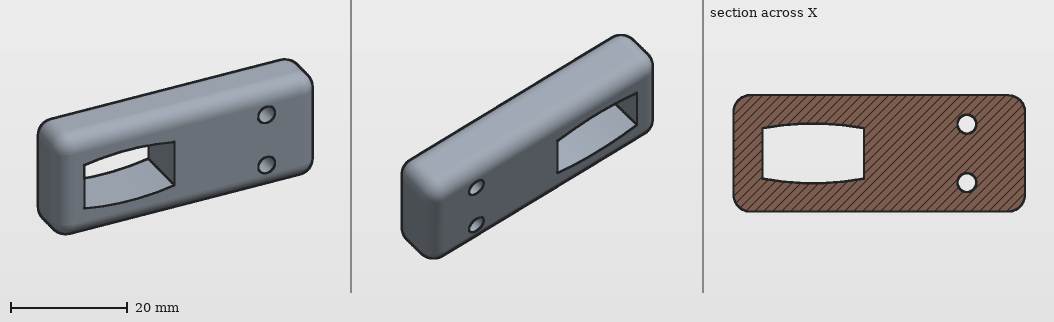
import cadquery as cq

body_width = 10.0
body_length = 50.0
body_height = 20.0
edge_radius = 3.0

hole_diameter = 3.2
hole_y = 15.0
hole_spacing = 10.0

window_length = 17.3
window_center_y = -11.3
window_end_height = 8.6
window_mid_height = 10.2


def make_body():
    """Bar with every edge rounded to the same radius."""
    return cq.Workplane("XY").box(body_width, body_length, body_height).edges().fillet(edge_radius)


def make_holes():
    """Two cylinders along X, spaced evenly above and below the mid-plane."""
    centers = [(hole_y, side * hole_spacing / 2) for side in (-1, 1)]
    return (
        cq.Workplane("YZ")
        .pushPoints(centers)
        .circle(hole_diameter / 2)
        .extrude(body_width / 2, both=True)
    )


def make_window():
    """Prism along X with straight ends and outward-bowed arcs above and below."""
    y_min = window_center_y - window_length / 2
    y_max = window_center_y + window_length / 2
    z_end = window_end_height / 2
    z_mid = window_mid_height / 2
    return (
        cq.Workplane("YZ")
        .moveTo(y_min, -z_end)
        .threePointArc((window_center_y, -z_mid), (y_max, -z_end))
        .lineTo(y_max, z_end)
        .threePointArc((window_center_y, z_mid), (y_min, z_end))
        .close()
        .extrude(body_width / 2, both=True)
    )


result = make_body().cut(make_holes()).cut(make_window())